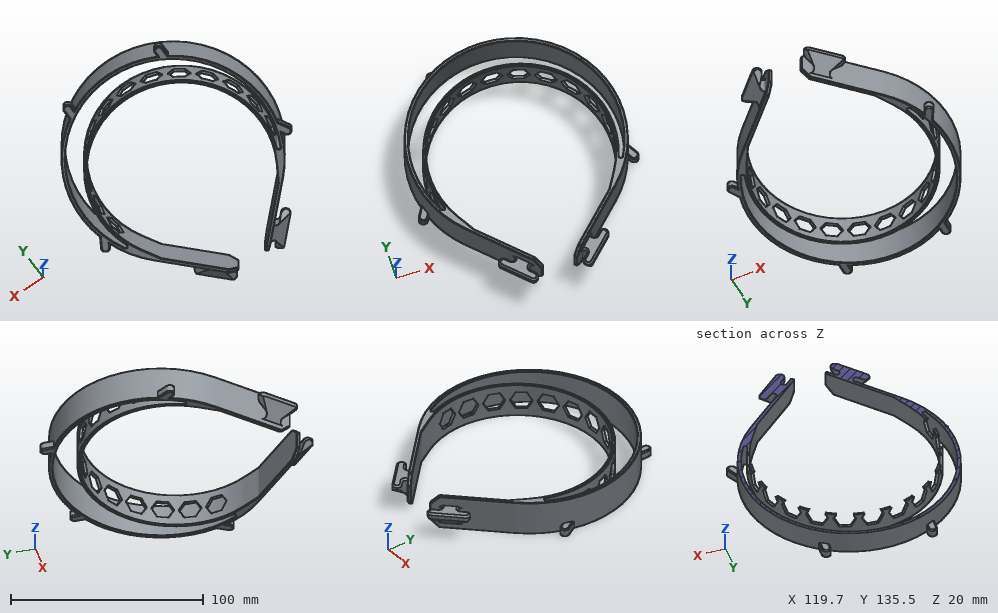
import cadquery as cq
import math

OVERALL_WIDTH = 119.7
OVERALL_DEPTH = 135.5
BAND_HEIGHT = 20.0
EDGE_CHAMFER = 0.4

HOOP_RADIUS = 58.0
HOOP_THICKNESS = 2.0

INNER_RADIUS = 50.8
INNER_THICKNESS = 1.6
INNER_OFFSET = 7.9

ARM_ANGLE = 45
ARM_LENGTH = 44.5
ARM_THICKNESS = 2.0
ARM_INNER_START = 3.8
ARM_CORNER = 5.0
CORNER_DIRECTIONS = [cq.Vector(x, 1, z * math.sqrt(2)) for x in (-1, 1) for z in (-1, 1)]

GAP_END_RADIUS = 1.0

WINDOW_FLATS = 10.3
WINDOW_COUNT = 13
WINDOW_PITCH_ANGLE = 16.7

PIN_RADIUS = 2.5
PIN_HEIGHT = 5.0
PIN_CHAMFER = 0.7
PIN_ROOT_LENGTH = 8.1
FRONT_PIN_END = (28.7, 54.2)
FRONT_PIN_ANGLE = 90
SIDE_PIN_END = (OVERALL_WIDTH / 2 - PIN_RADIUS, -20.9)
SIDE_PIN_ANGLE = -60

HOOK_LENGTH = 22.5
HOOK_REACH = 8.1
HOOK_BAR_WIDTH = 5.0
HOOK_NECK_HALF_WIDTH = 4.3
HOOK_ROOT_DEPTH = 0.7
HOOK_TOP = 14.6
HOOK_FLANK_BOTTOM = 11.4
HOOK_END_INSET = 1.1
HOOK_CHAMFER = 1.02

HOOP_INNER_FACE = HOOP_RADIUS - HOOP_THICKNESS
INNER_FACE_RADIUS = INNER_RADIUS - INNER_THICKNESS
INNER_CENTER = (0, -INNER_OFFSET)


def polar(radius, degrees, center=(0, 0)):
    angle = math.radians(degrees)
    return (center[0] + radius * math.cos(angle), center[1] + radius * math.sin(angle))


def distance(start, end):
    return math.hypot(end[0] - start[0], end[1] - start[1])


def direction_angle(start, end):
    return math.degrees(math.atan2(end[1] - start[1], end[0] - start[0]))


def mirrored(point):
    return (-point[0], point[1])


def arm_point(along, outward):
    """Point of the +X arm: distance along it from the tangent point, and outward from its outer face."""
    normal = polar(HOOP_RADIUS + outward, -ARM_ANGLE)
    return polar(along, -90 - ARM_ANGLE, normal)


def arm_length_to(y, outward):
    """Distance along the arm at which a line parallel to its outer face reaches the given Y."""
    start_y = arm_point(0, outward)[1]
    return (start_y - y) / math.cos(math.radians(ARM_ANGLE))


def arm_plane(along):
    """Plane on the +X arm: local X runs down the arm to the tip, local Y points outward."""
    return cq.Plane((*arm_point(along, 0), 0), xDir=(*polar(1, -90 - ARM_ANGLE), 0), normal=(0, 0, 1))


def make_band():
    outer_start = arm_point(0, 0)
    outer_tip = arm_point(ARM_LENGTH, 0)
    inner_tip = arm_point(ARM_LENGTH, -ARM_THICKNESS)
    arm_inner_start = arm_point(ARM_INNER_START, -ARM_THICKNESS)
    tangent_turn = math.degrees(math.acos(INNER_FACE_RADIUS / distance(INNER_CENTER, arm_inner_start)))
    inner_end_angle = direction_angle(INNER_CENTER, arm_inner_start) + tangent_turn
    inner_end = polar(INNER_FACE_RADIUS, inner_end_angle, INNER_CENTER)
    band = (
        cq.Workplane("XY")
        .moveTo(*outer_start)
        .threePointArc((0, HOOP_RADIUS), mirrored(outer_start))
        .lineTo(*mirrored(outer_tip))
        .lineTo(*mirrored(inner_tip))
        .lineTo(*mirrored(arm_inner_start))
        .lineTo(*mirrored(inner_end))
        .threePointArc((0, INNER_FACE_RADIUS - INNER_OFFSET), inner_end)
        .lineTo(*arm_inner_start)
        .lineTo(*inner_tip)
        .lineTo(*outer_tip)
        .close()
        .extrude(BAND_HEIGHT)
    )
    return band.cut(make_gap())


def make_gap():
    """Crescent between the hoops, closed at each end by an arc tangent to both."""
    from_hoop = HOOP_INNER_FACE - GAP_END_RADIUS
    from_inner = INNER_RADIUS + GAP_END_RADIUS
    sine = (from_inner**2 - from_hoop**2 - INNER_OFFSET**2) / (2 * INNER_OFFSET * from_hoop)
    hoop_angle = math.degrees(math.asin(sine))
    end_center = polar(from_hoop, hoop_angle)
    inner_angle = direction_angle(INNER_CENTER, end_center)
    hoop_side = polar(HOOP_INNER_FACE, hoop_angle)
    inner_side = polar(INNER_RADIUS, inner_angle, INNER_CENTER)
    end_tip = polar(GAP_END_RADIUS, (hoop_angle + inner_angle) / 2 - 90, end_center)
    return (
        cq.Workplane("XY")
        .moveTo(*hoop_side)
        .threePointArc((0, HOOP_INNER_FACE), mirrored(hoop_side))
        .threePointArc(mirrored(end_tip), mirrored(inner_side))
        .threePointArc((0, INNER_RADIUS - INNER_OFFSET), inner_side)
        .threePointArc(end_tip, hoop_side)
        .close()
        .extrude(BAND_HEIGHT)
    )


def make_windows():
    across_corners = WINDOW_FLATS / math.cos(math.radians(30))
    first_angle = 90 - WINDOW_PITCH_ANGLE * (WINDOW_COUNT - 1) / 2
    windows = cq.Workplane("XY")
    for index in range(WINDOW_COUNT):
        angle = first_angle + index * WINDOW_PITCH_ANGLE
        plane = cq.Plane(
            (*polar(INNER_FACE_RADIUS - INNER_THICKNESS, angle, INNER_CENTER), BAND_HEIGHT / 2),
            xDir=(*polar(1, angle + 90), 0),
            normal=(*polar(1, angle), 0),
        )
        windows = windows.add(cq.Workplane(plane).polygon(6, across_corners).extrude(3 * INNER_THICKNESS))
    return windows.combine()


def make_corner_cuts():
    """Wedges that bevel the upper and lower corners of the +X arm tip."""
    depth = 4 * ARM_THICKNESS
    plane = cq.Plane(
        (*arm_point(ARM_LENGTH, -depth / 2), 0),
        xDir=(*polar(1, 90 - ARM_ANGLE), 0),
        normal=(*polar(1, -ARM_ANGLE), 0),
    )
    lower = cq.Workplane(plane).polyline([(0, 0), (ARM_CORNER, 0), (0, ARM_CORNER)]).close().extrude(depth)
    upper = lower.mirror("XY").translate((0, 0, BAND_HEIGHT))
    return lower.union(upper)


def make_pin(end, angle):
    plane = cq.Plane((*end, 0), xDir=(*polar(1, angle), 0), normal=(0, 0, 1))
    pin = (
        cq.Workplane(plane)
        .moveTo(-PIN_ROOT_LENGTH, PIN_RADIUS)
        .lineTo(0, PIN_RADIUS)
        .threePointArc((PIN_RADIUS, 0), (0, -PIN_RADIUS))
        .lineTo(-PIN_ROOT_LENGTH, -PIN_RADIUS)
        .close()
        .extrude(PIN_HEIGHT)
        .faces("|Z")
        .chamfer(PIN_CHAMFER)
    )
    hoop_hollow = cq.Workplane("XY").circle(HOOP_RADIUS - HOOP_THICKNESS / 2).extrude(BAND_HEIGHT)
    return pin.cut(hoop_hollow)


def make_hook():
    """T-shaped strap hook on the +X arm, with slots under its bar and a 45-degree underside."""
    half_length = HOOK_LENGTH / 2
    bar_radius = HOOK_BAR_WIDTH / 2
    bar_center = HOOK_REACH - bar_radius
    slot_width = HOOK_REACH - HOOK_BAR_WIDTH
    slot_radius = slot_width / 2
    slot_center = HOOK_NECK_HALF_WIDTH + slot_radius
    bar_straight = half_length - bar_radius
    hook = (
        cq.Workplane("XY")
        .moveTo(-slot_center, -HOOK_ROOT_DEPTH)
        .lineTo(-slot_center, 0)
        .threePointArc((-HOOK_NECK_HALF_WIDTH, slot_radius), (-slot_center, slot_width))
        .lineTo(-bar_straight, slot_width)
        .threePointArc((-half_length, bar_center), (-bar_straight, HOOK_REACH))
        .lineTo(bar_straight, HOOK_REACH)
        .threePointArc((half_length, bar_center), (bar_straight, slot_width))
        .lineTo(slot_center, slot_width)
        .threePointArc((HOOK_NECK_HALF_WIDTH, slot_radius), (slot_center, 0))
        .lineTo(slot_center, -HOOK_ROOT_DEPTH)
        .close()
        .extrude(HOOK_TOP)
        .faces(">Z")
        .edges("not(<Y or |Y)")
        .chamfer(HOOK_CHAMFER)
        .cut(make_hook_underside_cut())
    )
    end_cut = make_hook_end_cut(slot_radius)
    hook = hook.cut(end_cut).cut(end_cut.mirror("YZ"))
    rear_center_y = HOOP_RADIUS - OVERALL_DEPTH + bar_radius
    center_along = arm_length_to(rear_center_y, bar_center) - bar_straight
    return cq.Workplane(hook.val().moved(cq.Location(arm_plane(center_along))))


def make_hook_underside_cut():
    """Space below the hook, under a 45-degree slope rising from the arm to the front of the bar."""
    root_height = HOOK_FLANK_BOTTOM - HOOK_REACH - HOOK_ROOT_DEPTH
    slope = [
        (-HOOK_ROOT_DEPTH, 0),
        (-HOOK_ROOT_DEPTH, root_height),
        (HOOK_REACH, HOOK_FLANK_BOTTOM),
        (HOOK_REACH, 0),
    ]
    return cq.Workplane("YZ").polyline(slope).close().extrude(HOOK_LENGTH / 2, both=True)


def make_hook_end_cut(start):
    """Space below one end of the bar, under a 45-degree slope rising from the neck to the end."""
    neck_height = HOOK_FLANK_BOTTOM - (HOOK_LENGTH / 2 - HOOK_END_INSET - HOOK_NECK_HALF_WIDTH)
    run = HOOK_LENGTH / 2 - HOOK_NECK_HALF_WIDTH
    slope = [(0, 0), (0, neck_height), (run, neck_height + run), (run, 0)]
    return (
        cq.Workplane("XZ", origin=(HOOK_NECK_HALF_WIDTH, start, 0))
        .polyline(slope)
        .close()
        .extrude(-HOOK_REACH)
    )


def both_sides(body):
    return body.union(body.mirror("YZ"))


band = make_band().cut(both_sides(make_corner_cuts()))
rim_edges = band.faces("|Z or <Y").edges()
for direction in CORNER_DIRECTIONS:
    rim_edges = rim_edges.add(band.edges(cq.selectors.ParallelDirSelector(direction)))
band = rim_edges.chamfer(EDGE_CHAMFER)
band = band.cut(make_windows())
attachments = make_hook()
attachments = attachments.union(make_pin(FRONT_PIN_END, FRONT_PIN_ANGLE))
attachments = attachments.union(make_pin(SIDE_PIN_END, SIDE_PIN_ANGLE))
result = band.union(both_sides(attachments))